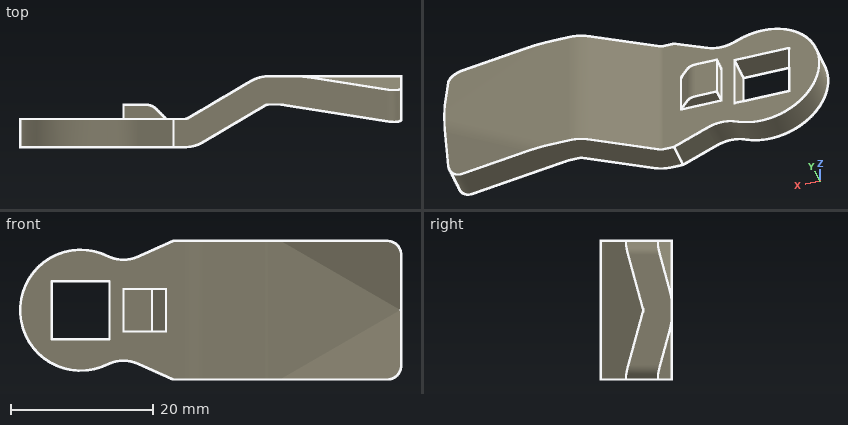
import cadquery as cq
import math


thickness = 4.0
width = 19.5
half_width = width / 2
tip_x = 45.0
tip_corner_radius = 2.0

head_radius = 8.5
neck_x = 6.0
neck_radius = 5.0
shoulder_x = 13.0
square_hole = 8.1

blade_offset = 6.0
inner_bend_radius = 1.0
outer_bend_radius = inner_bend_radius + thickness
lower_bend_x = 14.6
upper_bend_x = 26.4
bend_angle = math.asin((inner_bend_radius + outer_bend_radius) / (upper_bend_x - lower_bend_x))
lower_bend_y = outer_bend_radius
upper_bend_y = blade_offset - inner_bend_radius

fold_start_x = 28.0
fold_line_angle = math.radians(30)
fold_angle = math.radians(17.5)
fold_back_offset = 1.5
fold_back_radius = 6.0
apex_x = fold_start_x + half_width / math.tan(fold_line_angle)

stop_start_x = 6.0
stop_end_x = 12.0
stop_width = 6.0
stop_height = 2.0
stop_ramp_length = 2.0
nub_edge_radius = 2.0

overrun = 20.0


def on_circle(centre, radius, angle):
    """Point on a circle at an angle measured from the first axis."""
    return (centre[0] + radius * math.cos(angle), centre[1] + radius * math.sin(angle))


def front_outline():
    """Lever outline in X and Z, extruded through the full depth."""
    neck_reach = head_radius + neck_radius
    neck_centre = (neck_x, math.sqrt(neck_reach**2 - neck_x**2))
    head_end = on_circle((0, 0), head_radius, math.acos(neck_x / neck_reach))

    run = shoulder_x - neck_centre[0]
    rise = half_width - neck_centre[1]
    tangent_offset = math.asin(neck_radius / math.hypot(run, rise))
    flank_angle = math.atan2(rise, run) + tangent_offset
    neck_end = on_circle(neck_centre, neck_radius, flank_angle - math.pi / 2)
    neck_bottom = on_circle(neck_centre, neck_radius, -math.pi / 2)

    def mirrored(point):
        """Matching point on the lower edge of the lever."""
        return (point[0], -point[1])

    outline = (
        cq.Workplane("XZ")
        .moveTo(*mirrored(head_end))
        .threePointArc((-head_radius, 0), head_end)
        .threePointArc(neck_bottom, neck_end)
        .lineTo(shoulder_x, half_width)
        .lineTo(tip_x, half_width)
        .lineTo(tip_x, -half_width)
        .lineTo(shoulder_x, -half_width)
        .lineTo(*mirrored(neck_end))
        .threePointArc(mirrored(neck_bottom), mirrored(head_end))
        .close()
        .extrude(overrun, both=True)
    )
    return outline.edges("|Y and >X").fillet(tip_corner_radius)


def joggled_strip():
    """Constant-thickness strip with both bends, as wide as the lever."""
    lower_centre = (lower_bend_x, lower_bend_y)
    upper_centre = (upper_bend_x, upper_bend_y)
    lower_start, lower_end = -math.pi / 2, -math.pi / 2 + bend_angle
    lower_mid = (lower_start + lower_end) / 2
    upper_start, upper_end = math.pi / 2 + bend_angle, math.pi / 2
    upper_mid = (upper_start + upper_end) / 2

    return (
        cq.Workplane("XY")
        .moveTo(-head_radius, 0)
        .lineTo(lower_bend_x, 0)
        .threePointArc(
            on_circle(lower_centre, outer_bend_radius, lower_mid),
            on_circle(lower_centre, outer_bend_radius, lower_end),
        )
        .lineTo(*on_circle(upper_centre, inner_bend_radius, upper_start))
        .threePointArc(
            on_circle(upper_centre, inner_bend_radius, upper_mid),
            on_circle(upper_centre, inner_bend_radius, upper_end),
        )
        .lineTo(tip_x, blade_offset)
        .lineTo(tip_x, blade_offset + thickness)
        .lineTo(upper_bend_x, blade_offset + thickness)
        .threePointArc(
            on_circle(upper_centre, outer_bend_radius, upper_mid),
            on_circle(upper_centre, outer_bend_radius, upper_start),
        )
        .lineTo(*on_circle(lower_centre, inner_bend_radius, lower_end))
        .threePointArc(
            on_circle(lower_centre, inner_bend_radius, lower_mid),
            on_circle(lower_centre, inner_bend_radius, lower_start),
        )
        .lineTo(-head_radius, thickness)
        .close()
        .extrude(half_width, both=True)
    )


def fold_plane():
    """Plane square to the upper fold line: local x points outward, local y along +Y."""
    outward = (math.sin(fold_line_angle), 0, math.cos(fold_line_angle))
    along_fold = (-math.cos(fold_line_angle), 0, math.sin(fold_line_angle))
    return cq.Plane(origin=(apex_x, blade_offset, 0), xDir=outward, normal=along_fold)


def flat_corner():
    """Unfolded blade material outside the upper fold line."""
    return (
        cq.Workplane(fold_plane())
        .rect(overrun, 2 * overrun)
        .extrude(overrun + half_width, both=True)
        .translate(fold_plane().xDir * (overrun / 2))
    )


def folded_corner():
    """Upper corner turned forward about a sharp fold line, rounded on the back."""
    leg_x = overrun * math.cos(fold_angle)
    leg_y = -overrun * math.sin(fold_angle)
    arc_start_x = fold_back_offset - fold_back_radius * math.tan(fold_angle / 2)
    arc_centre = (arc_start_x, thickness - fold_back_radius)
    arc_mid = on_circle(arc_centre, fold_back_radius, math.pi / 2 - fold_angle / 2)
    arc_end = on_circle(arc_centre, fold_back_radius, math.pi / 2 - fold_angle)
    wing = (
        cq.Workplane(fold_plane())
        .moveTo(0, 0)
        .lineTo(0, thickness)
        .lineTo(arc_start_x, thickness)
        .threePointArc(arc_mid, arc_end)
        .lineTo(arc_end[0] + leg_x, arc_end[1] + leg_y)
        .lineTo(leg_x, leg_y)
        .close()
        .extrude(overrun + half_width, both=True)
    )
    blade_length = tip_x - fold_start_x
    upper_half = (
        cq.Workplane("XY")
        .moveTo(tip_x, blade_offset)
        .rect(2 * (blade_length + overrun), 2 * overrun)
        .extrude(half_width)
    )
    return wing.intersect(upper_half)


def stop_profile(base_y):
    """Stop section with a ramp toward the tip, standing on the given Y level."""
    return (
        cq.Workplane("XY")
        .moveTo(stop_start_x, base_y)
        .lineTo(stop_end_x, base_y)
        .lineTo(stop_end_x - stop_ramp_length, base_y + stop_height)
        .lineTo(stop_start_x, base_y + stop_height)
        .close()
        .extrude(stop_width / 2, both=True)
    )


def stop_nub():
    """Raised back of the stop, with the top edge of its ramp rounded."""
    nub = stop_profile(thickness)
    ramp_top = cq.selectors.NearestToPointSelector(
        (stop_end_x - stop_ramp_length, thickness + stop_height, 0)
    )
    return nub.edges("|Z").edges(ramp_top).fillet(nub_edge_radius)


upper_cut = flat_corner()
upper_wing = folded_corner()
body = joggled_strip().cut(upper_cut).cut(upper_cut.mirror("XY"))
body = body.union(upper_wing).union(upper_wing.mirror("XY"))
body = body.intersect(front_outline())

body = body.union(stop_nub()).cut(stop_profile(0))
hole = cq.Workplane("XZ").rect(square_hole, square_hole).extrude(thickness, both=True)
result = body.cut(hole)